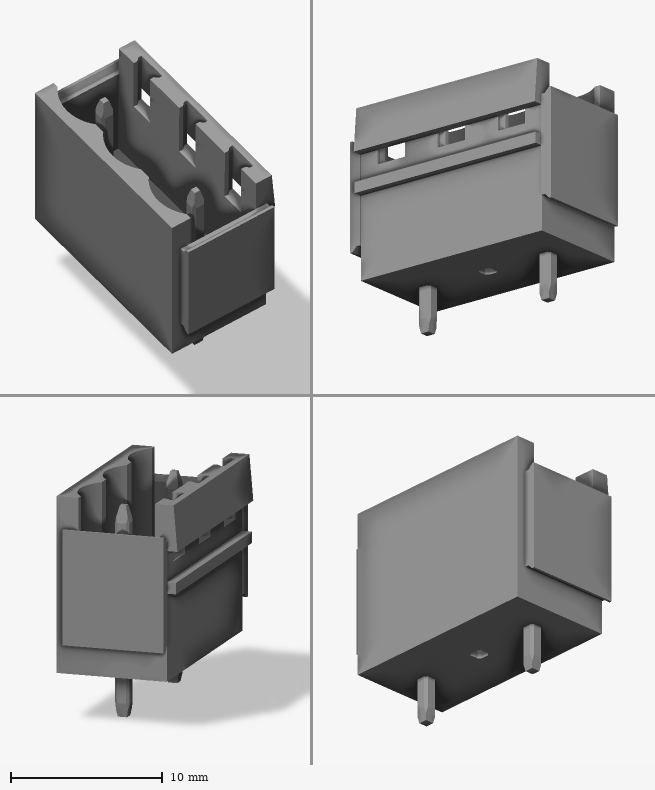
import cadquery as cq


pitch = 5.08
positions = (-pitch, 0, pitch)
pin_positions = (-pitch, pitch)
pin_y = 3.8

overall_length = 17.0
end_plate_thickness = 0.85
housing_length = overall_length - 2 * end_plate_thickness
housing_height = 12.0
housing_depth = 7.68
front_wall = 1.53
back_wall_inner_top = 6.87
back_wall_inner_floor = 6.83
floor_height = 2.48

scallop_chord = 4.22
scallop_sag = 0.78

lip_bottom_z = 8.87
lip_bottom_y = 8.43
lip_top_y = 8.16
rib_bottom_z = 5.98
rib_height = 0.78
rib_back_y = 8.33

slot_floor_z = 7.87
slot_wide = 2.31
slot_narrow = 1.82
slot_wide_start_y = 7.43
slot_narrow_end_y = 7.17

plate_front_y = 0.71
plate_back_y = 7.75
plate_bottom_z = 2.12
plate_height = 7.82
plate_edge = 0.19
plate_chamfer = 0.35

pin_width = 1.0
pin_corner = 0.19
pin_bottom_z = -3.2
pin_top_z = 11.14
top_tip_width = 0.42
top_taper = 1.15
bottom_tip_width = 0.65
bottom_taper = 0.95


def extrude_along_x(profile, length):
    """Extrude a closed YZ outline by length, centred on X = 0."""
    return cq.Workplane("YZ").polyline(profile).close().extrude(length / 2, both=True)


def housing_shell():
    """Floor, front wall, slightly drafted back wall and latch lip as one profile."""
    profile = [
        (0, 0),
        (housing_depth, 0),
        (housing_depth, lip_bottom_z),
        (lip_bottom_y, lip_bottom_z),
        (lip_top_y, housing_height),
        (back_wall_inner_top, housing_height),
        (back_wall_inner_floor, floor_height),
        (front_wall, floor_height),
        (front_wall, housing_height),
        (0, housing_height),
    ]
    return extrude_along_x(profile, housing_length)


def back_rib():
    """Straight rib along the back of the housing, below the latch lip."""
    return cq.Workplane("XY").box(
        housing_length, rib_back_y - housing_depth, rib_height, centered=(True, False, False)
    ).translate((0, housing_depth, rib_bottom_z))


def scallop(x):
    """Cutter for one arc-shaped hollow in the inner face of the front wall."""
    return (
        cq.Workplane("XY", origin=(x, front_wall, floor_height))
        .moveTo(-scallop_chord / 2, 0)
        .threePointArc((0, -scallop_sag), (scallop_chord / 2, 0))
        .close()
        .extrude(housing_height - floor_height)
    )


def dovetail_slot(x):
    """Cutter for one dovetail slot, open at the top and to the cavity."""
    half_wide = slot_wide / 2
    half_narrow = slot_narrow / 2
    outline = [
        (-half_narrow, back_wall_inner_floor),
        (half_narrow, back_wall_inner_floor),
        (half_narrow, slot_narrow_end_y),
        (half_wide, slot_wide_start_y),
        (half_wide, housing_depth),
        (-half_wide, housing_depth),
        (-half_wide, slot_wide_start_y),
        (-half_narrow, slot_narrow_end_y),
    ]
    return (
        cq.Workplane("XY", origin=(x, 0, slot_floor_z))
        .polyline(outline)
        .close()
        .extrude(housing_height - slot_floor_z)
    )


def end_plate(side):
    """Plate closing one end of the housing (side is -1 or 1), with chamfered flanges."""
    inner_x = side * housing_length / 2
    outer_x = side * overall_length / 2
    edge_x = outer_x - side * plate_edge
    web_x = edge_x - side * plate_chamfer
    plate_top_z = plate_bottom_z + plate_height
    web_bottom_z = plate_bottom_z + plate_chamfer
    web_top_z = plate_top_z - plate_chamfer
    outline = [
        (inner_x, web_bottom_z),
        (web_x, web_bottom_z),
        (edge_x, plate_bottom_z),
        (outer_x, plate_bottom_z),
        (outer_x, plate_top_z),
        (edge_x, plate_top_z),
        (web_x, web_top_z),
        (inner_x, web_top_z),
    ]
    return (
        cq.Workplane("XZ", origin=(0, plate_front_y, 0))
        .polyline(outline)
        .close()
        .extrude(plate_front_y - plate_back_y)
    )


def pin_bar(x, bottom_z, top_z):
    """Square bar with chamfered long edges; also the cutter for the pin holes."""
    return (
        cq.Workplane("XY", origin=(x, pin_y, bottom_z))
        .rect(pin_width, pin_width)
        .extrude(top_z - bottom_z)
        .edges("|Z")
        .chamfer(pin_corner)
    )


def pin_taper(x, base_z, tip_z, tip_width):
    """Square frustum from the full pin width at base_z to tip_width at tip_z."""
    return (
        cq.Workplane("XY", origin=(x, pin_y, base_z))
        .rect(pin_width, pin_width)
        .workplane(offset=tip_z - base_z)
        .rect(tip_width, tip_width)
        .loft(ruled=True)
    )


def build_pin(x):
    """One contact pin, tapered at both ends."""
    upper_base_z = pin_top_z - top_taper
    lower_base_z = pin_bottom_z + bottom_taper
    shank = cq.Workplane("XY", origin=(x, pin_y, lower_base_z)).box(
        pin_width, pin_width, upper_base_z - lower_base_z, centered=(True, True, False)
    )
    envelope = shank.union(pin_taper(x, upper_base_z, pin_top_z, top_tip_width))
    envelope = envelope.union(pin_taper(x, lower_base_z, pin_bottom_z, bottom_tip_width))
    return pin_bar(x, pin_bottom_z, pin_top_z).intersect(envelope)


def build_housing():
    """Housing with end plates, scallops, dovetail slots and a pin hole at each position."""
    body = housing_shell().union(back_rib())
    for side in (-1, 1):
        body = body.union(end_plate(side))
    for x in positions:
        body = body.cut(scallop(x))
        body = body.cut(dovetail_slot(x))
        body = body.cut(pin_bar(x, 0, floor_height))
    return body


housing = build_housing()
pins = [build_pin(x) for x in pin_positions]

result = cq.Compound.makeCompound([housing.solids().val(), *[pin.solids().val() for pin in pins]])